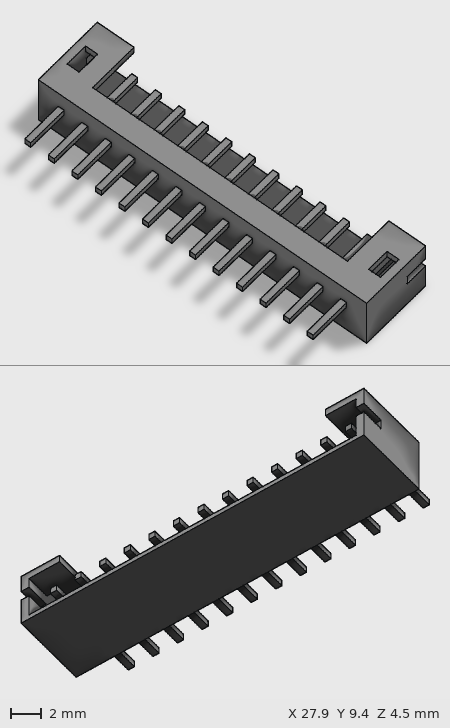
import cadquery as cq


body_length = 27.9
body_depth = 6.0
body_height = 4.5

end_wall = 0.65
floor_thickness = 0.4
roof_thickness = 0.6
cavity_depth = 4.2
cavity_half_length = body_length / 2 - end_wall

arm_width = 3.12
cutout_half_length = body_length / 2 - arm_width

window_width = 1.0
window_length = 1.87
window_inset = 1.95

slot_depth = 1.87
slot_height = 0.8
slot_top = body_height - 1.45

pin_count = 13
pin_row_span = 24.0
pin_pitch = pin_row_span / (pin_count - 1)
pin_size = 0.5
pin_top = slot_top
pin_tail = 3.4
pin_tip_inset = 0.92


def block(x_range, y_range, z_range):
    """Box spanning the given (low, high) ranges."""
    (x0, x1), (y0, y1), (z0, z1) = x_range, y_range, z_range
    return cq.Workplane("XY").box(x1 - x0, y1 - y0, z1 - z0, centered=False).translate((x0, y0, z0))


def centred_block(half_length, y_range, z_range):
    """Box lying symmetrically about X = 0."""
    return block((-half_length, half_length), y_range, z_range)


def make_cavity():
    """Mating cavity together with the opening in its roof."""
    y_range = (body_depth - cavity_depth, body_depth)
    room = centred_block(cavity_half_length, y_range, (floor_thickness, body_height - roof_thickness))
    roof_cutout = centred_block(cutout_half_length, y_range, (floor_thickness, body_height))
    return room.union(roof_cutout)


def make_windows():
    """One rectangular window through the roof of each arm."""
    y_high = body_depth - window_inset
    x_range = (cavity_half_length - window_width, cavity_half_length)
    right = block(x_range, (y_high - window_length, y_high), (body_height - roof_thickness, body_height))
    return right.union(right.mirror("YZ"))


def make_slots():
    """Slot through both end walls."""
    y_range = (body_depth - slot_depth, body_depth)
    return centred_block(body_length / 2, y_range, (slot_top - slot_height, slot_top))


def make_pin(index):
    """Square pin passing through the rear wall."""
    x = index * pin_pitch - pin_row_span / 2
    return block(
        (x - pin_size / 2, x + pin_size / 2),
        (-pin_tail, body_depth - pin_tip_inset),
        (pin_top - pin_size, pin_top),
    )


housing = centred_block(body_length / 2, (0, body_depth), (0, body_height))
result = housing.cut(make_cavity()).cut(make_windows()).cut(make_slots())
for pin_index in range(pin_count):
    result = result.union(make_pin(pin_index))